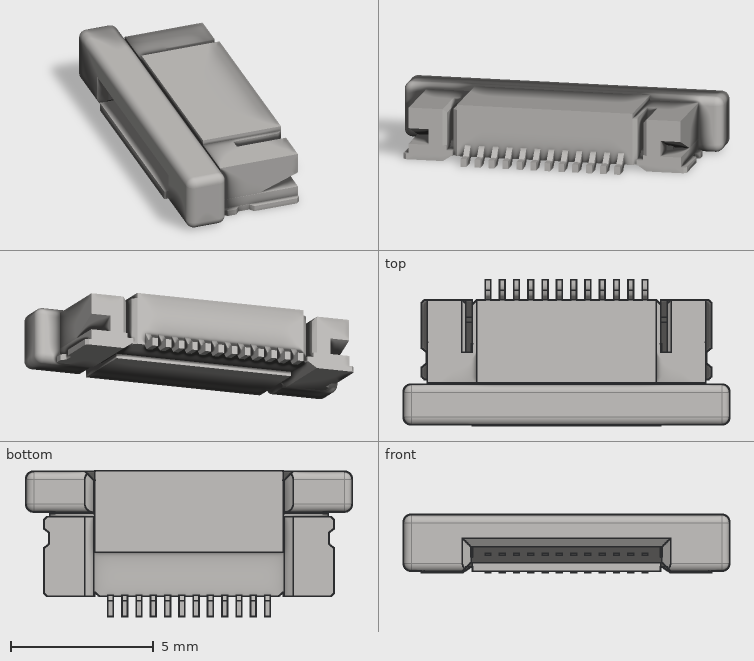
import cadquery as cq


slider_width = 11.43
total_depth = 5.11
total_height = 2.05

slider_front = 0.02
slider_back = 1.45
slider_bottom = 0.06
slider_fillet = 0.29

mouth_half_width = 3.34
mouth_top = 0.9
mouth_flare = 0.31
mouth_end = 2.86
tongue_half_width = 3.29
tongue_bottom = 0.05
tongue_top = 0.35

body_half_width = 4.87
body_front = 1.5
body_back = 4.4
wing_top = 1.86
pad_half_width = 3.14
block_half_width = 3.29
base_half_width = 4.88
base_bottom = 0.21
base_top = 0.56
wedge_front = 2.91
wedge_back_height = 1.12
neck_half_width = 4.69
neck_top = 1.6

slot_front = 2.57
slot_outer = 3.52
recess_floor = 0.39
recess_ramp_front = 3.61
recess_ramp_back = 3.78
wing_corner_chamfer = 0.14

gap_inner = 4.16
step_width = 0.18
step_back = 3.42

nail_outer = 5.07
nail_inner = 3.65
nail_front = 1.61
nail_corner = 0.1
notch_depth = 0.17
notch_chamfer = 0.14
notch_front = 2.03
notch_back = 2.71

contact_count = 12
contact_span = 5.5
contact_pitch = contact_span / (contact_count - 1)
contact_width = 0.21
tail_thickness = 0.29
tail_top = 0.64
tail_bend_bottom = 4.56
tail_bend_top = 4.73
tip_bottom = 0.61
tip_height = 0.08
tip_length = 0.11


def box(x_min, x_max, y_min, y_max, z_min, z_max):
    size = (x_max - x_min, y_max - y_min, z_max - z_min)
    return cq.Workplane("XY").box(*size, centered=False).translate((x_min, y_min, z_min))


def wide_box(half_width, y_min, y_max, z_min, z_max):
    return box(-half_width, half_width, y_min, y_max, z_min, z_max)


def side_prism(points, x_min, x_max):
    """Extrude a (Y, Z) outline along X."""
    return cq.Workplane("YZ").workplane(offset=x_min).polyline(points).close().extrude(x_max - x_min)


def plan_prism(points, z_min, z_max):
    """Extrude an (X, Y) outline along Z."""
    return cq.Workplane("XY").workplane(offset=z_min).polyline(points).close().extrude(z_max - z_min)


def front_prism(points, y_min, y_max):
    """Extrude an (X, Z) outline along Y."""
    return cq.Workplane("XZ").workplane(offset=-y_max).polyline(points).close().extrude(y_max - y_min)


def both_sides(right_part):
    return right_part.union(right_part.mirror("YZ"))


def make_slider():
    bar = wide_box(slider_width / 2, slider_front, slider_back, slider_bottom, total_height)
    bar = bar.edges().fillet(slider_fillet)
    neck = wide_box(neck_half_width, slider_back - slider_fillet, body_front, base_top, neck_top)
    return bar.union(neck)


def make_housing():
    base = wide_box(base_half_width, body_front, body_back, base_bottom, base_top)
    wings = wide_box(body_half_width, body_front, body_back, base_top, wing_top)
    pad = wide_box(pad_half_width, body_front, body_back, wing_top, total_height)
    return base.union(wings).union(pad)


def make_wing_gap():
    """Wedge below the rear of the wing, open to the side, with a slanted step in its inner wall."""
    wedge = [(wedge_front, base_top), (body_back, base_top), (body_back, wedge_back_height)]
    step = [
        (gap_inner, wedge_front),
        (gap_inner + step_width, wedge_front),
        (gap_inner + step_width, step_back - step_width),
        (gap_inner, step_back),
    ]
    return side_prism(wedge, gap_inner, body_half_width).cut(plan_prism(step, base_top, wing_top))


def make_slot():
    """Rear slot with a chamfered outer edge, a sunken floor and chamfered rear corners."""
    cross_section = [
        (block_half_width, base_top),
        (slot_outer, base_top),
        (slot_outer, wing_top - wing_corner_chamfer),
        (slot_outer + wing_corner_chamfer, wing_top),
        (block_half_width, wing_top),
    ]
    slot = front_prism(cross_section, slot_front, body_back)
    recess = [
        (recess_ramp_front, base_top),
        (body_back, base_top),
        (body_back, recess_floor),
        (recess_ramp_back, recess_floor),
    ]
    slot = slot.union(side_prism(recess, block_half_width, slot_outer))
    chamfer_front = body_back - wing_corner_chamfer
    wing_corner = [
        (slot_outer, chamfer_front),
        (slot_outer + wing_corner_chamfer, body_back),
        (slot_outer, body_back),
    ]
    block_corner = [
        (pad_half_width, body_back),
        (block_half_width, body_back),
        (block_half_width, body_back - (block_half_width - pad_half_width)),
    ]
    slot = slot.union(plan_prism(wing_corner, base_top, wing_top))
    return slot.union(plan_prism(block_corner, base_bottom, wing_top))


def make_nail():
    """Solder nail with a notched outer edge and a ramped inner end."""
    outline = [
        (mouth_half_width, nail_front),
        (nail_outer - nail_corner, nail_front),
        (nail_outer, nail_front + nail_corner),
        (nail_outer, notch_front),
        (nail_outer - notch_depth, notch_front + notch_chamfer),
        (nail_outer - notch_depth, notch_back - notch_chamfer),
        (nail_outer, notch_back),
        (nail_outer, body_back - nail_corner),
        (nail_outer - nail_corner, body_back),
        (mouth_half_width, body_back),
    ]
    ramp = [(mouth_half_width, 0), (nail_inner, 0), (mouth_half_width, base_bottom)]
    return plan_prism(outline, 0, base_bottom).cut(front_prism(ramp, nail_front, body_back))


def make_mouth():
    """Cable opening, flared at the front face and at the bottom edges."""
    opening = wide_box(mouth_half_width, 0, body_front, 0, mouth_top)
    cavity = wide_box(mouth_half_width, body_front, mouth_end, tongue_top, mouth_top)
    flare_half_width = mouth_half_width + mouth_flare
    flare = (
        cq.Workplane("XZ", origin=(0, slider_front, 0))
        .center(0, (mouth_top + mouth_flare) / 2)
        .rect(2 * flare_half_width, mouth_top + mouth_flare)
        .workplane(offset=-mouth_flare)
        .center(0, -mouth_flare / 2)
        .rect(2 * mouth_half_width, mouth_top)
        .loft(ruled=True)
    )
    bottom_flare = [
        (-flare_half_width, slider_bottom),
        (flare_half_width, slider_bottom),
        (mouth_half_width, slider_bottom + mouth_flare),
        (-mouth_half_width, slider_bottom + mouth_flare),
    ]
    mouth = opening.union(flare).union(front_prism(bottom_flare, slider_front, slider_back))
    return mouth.union(cavity)


def make_contact(x_center):
    """Bent solder tail behind the housing and contact tip inside the mouth."""
    x_min = x_center - contact_width / 2
    x_max = x_center + contact_width / 2
    tail = [
        (body_back - tail_thickness, tail_top),
        (tail_bend_top - (tail_top - tail_thickness), tail_top),
        (tail_bend_top, tail_thickness),
        (total_depth, tail_thickness),
        (total_depth, 0),
        (tail_bend_bottom, 0),
        (tail_bend_bottom - base_bottom, base_bottom),
        (body_back - tail_thickness, base_bottom),
    ]
    tip_front = mouth_end - tip_length
    tip = box(x_min, x_max, tip_front, mouth_end + tip_length, tip_bottom, tip_bottom + tip_height)
    return side_prism(tail, x_min, x_max).union(tip)


result = make_housing()
result = result.cut(both_sides(make_wing_gap())).cut(both_sides(make_slot()))
result = result.union(both_sides(make_nail()))
result = result.union(make_slider()).cut(make_mouth())
result = result.union(wide_box(tongue_half_width, 0, mouth_end, tongue_bottom, tongue_top))
for index in range(contact_count):
    result = result.union(make_contact((index - (contact_count - 1) / 2) * contact_pitch))